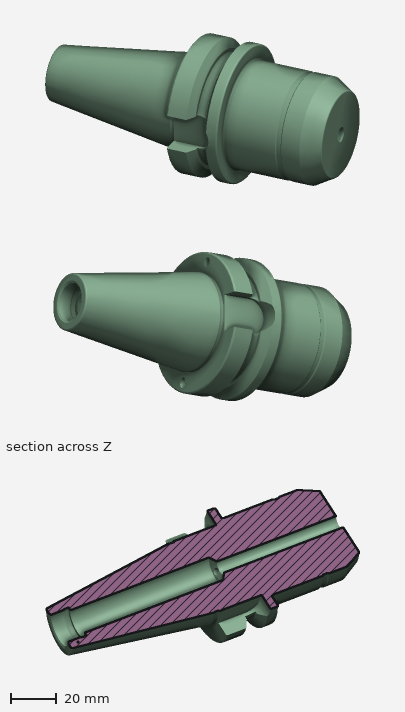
import cadquery as cq
import math

TAPER_END = 65.4
RELIEF_START = 66.2
FLANGE_START = 67.5
V_LEFT_OUTER, V_LEFT_INNER = 77.1, 79.5
V_RIGHT_INNER, V_RIGHT_OUTER = 84.5, 87.2
FLANGE_END = 92.4
RING_START, RING_END = 117.5, 120.5
NOSE_START = 129.4
LENGTH = 137.9

TAPER_RATIO = 7 / 24
TAPER_LARGE_R = 44.5 / 2
TAPER_SMALL_R = TAPER_LARGE_R - TAPER_END * TAPER_RATIO / 2
RELIEF_R = 44.0 / 2
FLANGE_R = 63.0 / 2
V_FLOOR_R = 25.5
V_WALL_SLOPE = math.tan(math.radians(60))
BODY_R = 49.2 / 2
RING_R = 48.3 / 2
NOSE_R = BODY_R - (LENGTH - NOSE_START) * math.tan(math.radians(30))
EDGE_ROUND = 0.8
NOSE_ROUND = 0.7

SLOT_WIDTH = 16.1
SLOT_END = 88.4
SLOT_FLOOR = 22.5

MOUTH_R = 18.9 / 2
MOUTH_CHAMFER = 0.5
PILOT_R = 17.0 / 2
UNDERCUT_R = 17.7 / 2
UNDERCUT_START, UNDERCUT_END = 6.3, 7.2
PILOT_DEPTH = 9.2
BORE_R = 14.0 / 2
BORE_DEPTH = 77.2
THROUGH_R = 6.9 / 2
DRILL_HALF_ANGLE = math.radians(59)

DUCT_D = 3.3
DUCT_MOUTH_D = 4.0
DUCT_MOUTH_DEPTH = 1.8
DUCT_START_R = 27.0
DUCT_PORT_R = 5.0
DUCT_SLANT = math.radians(30)
DUCT_TURN = 20.0
DUCT_LEAD = 4.0


def revolve_about_x(points):
    """Turn an (x, radius) outline about the X axis."""
    return cq.Workplane("XY").polyline(points).close().revolve(360, (0, 0, 0), (1, 0, 0))


def turned_body():
    left_v_r = FLANGE_R - (V_LEFT_INNER - V_LEFT_OUTER) * V_WALL_SLOPE
    right_v_r = FLANGE_R - (V_RIGHT_OUTER - V_RIGHT_INNER) * V_WALL_SLOPE
    ring_depth = BODY_R - RING_R
    body = revolve_about_x([
        (0, 0),
        (0, TAPER_SMALL_R),
        (TAPER_END, TAPER_LARGE_R),
        (RELIEF_START, RELIEF_R),
        (FLANGE_START, RELIEF_R),
        (FLANGE_START, FLANGE_R),
        (V_LEFT_OUTER, FLANGE_R),
        (V_LEFT_INNER, left_v_r),
        (V_LEFT_INNER, V_FLOOR_R),
        (V_RIGHT_INNER, V_FLOOR_R),
        (V_RIGHT_INNER, right_v_r),
        (V_RIGHT_OUTER, FLANGE_R),
        (FLANGE_END, FLANGE_R),
        (FLANGE_END, BODY_R),
        (RING_START, BODY_R),
        (RING_START + ring_depth, RING_R),
        (RING_END - ring_depth, RING_R),
        (RING_END, BODY_R),
        (NOSE_START, BODY_R),
        (LENGTH, NOSE_R),
        (LENGTH, 0),
    ])
    for x, radius, size in (
        (0, TAPER_SMALL_R, EDGE_ROUND),
        (FLANGE_START, FLANGE_R, EDGE_ROUND),
        (FLANGE_END, FLANGE_R, EDGE_ROUND),
        (FLANGE_END, BODY_R, EDGE_ROUND),
        (LENGTH, NOSE_R, NOSE_ROUND),
    ):
        body = body.edges(circle_edge_at(x, radius)).fillet(size)
    return body


def circle_edge_at(x, radius):
    """Select the circular edge of a given radius at a given station."""
    margin = 0.01
    reach = radius + margin
    inner = radius - margin
    outer_box = cq.selectors.BoxSelector(
        (x - margin, -reach, -reach), (x + margin, reach, reach), boundingbox=True)
    inner_box = cq.selectors.BoxSelector(
        (x - margin, -inner, -inner), (x + margin, inner, inner), boundingbox=True)
    return outer_box - inner_box


def axial_bore():
    cone_length = (BORE_R - THROUGH_R) / math.tan(DRILL_HALF_ANGLE)
    return revolve_about_x([
        (0, 0),
        (0, MOUTH_R),
        (MOUTH_CHAMFER, PILOT_R),
        (UNDERCUT_START, PILOT_R),
        (UNDERCUT_END, UNDERCUT_R),
        (PILOT_DEPTH, UNDERCUT_R),
        (PILOT_DEPTH, BORE_R),
        (BORE_DEPTH, BORE_R),
        (BORE_DEPTH + cone_length, THROUGH_R),
        (LENGTH, THROUGH_R),
        (LENGTH, 0),
    ])


def drive_slot(side):
    """Round-ended slot, open toward the taper; side is +1 or -1 along Y."""
    radius = SLOT_WIDTH / 2
    centre_x = SLOT_END - radius
    return (
        cq.Workplane("XZ", origin=(0, side * SLOT_FLOOR, 0))
        .moveTo(FLANGE_START, -radius)
        .lineTo(centre_x, -radius)
        .threePointArc((SLOT_END, 0), (centre_x, radius))
        .lineTo(FLANGE_START, radius)
        .close()
        .extrude(-side * FLANGE_R)
    )


def coolant_duct(turn):
    port_x = BORE_DEPTH + (BORE_R - DUCT_PORT_R) / math.tan(DRILL_HALF_ANGLE)
    inward = cq.Vector(math.cos(DUCT_SLANT), 0, -math.sin(DUCT_SLANT))
    outward = cq.Vector(math.cos(DUCT_SLANT), 0, math.sin(DUCT_SLANT))
    entry = cq.Vector(FLANGE_START, 0, DUCT_START_R)
    port = cq.Vector(port_x, 0, DUCT_PORT_R)

    radial_gap = DUCT_START_R - DUCT_PORT_R
    meeting_x = (FLANGE_START + port_x + radial_gap / math.tan(DUCT_SLANT)) / 2
    entry_length = (meeting_x - FLANGE_START) / math.cos(DUCT_SLANT)
    port_length = (meeting_x - port_x) / math.cos(DUCT_SLANT)

    start = entry - inward * DUCT_LEAD
    mouth_length = DUCT_LEAD + DUCT_MOUTH_DEPTH
    port_lead = DUCT_D / 2
    mouth = cq.Solid.makeCylinder(DUCT_MOUTH_D / 2, mouth_length, start, inward)
    entry_leg = cq.Solid.makeCylinder(DUCT_D / 2, DUCT_LEAD + entry_length, start, inward)
    port_leg = cq.Solid.makeCylinder(
        DUCT_D / 2, port_lead + port_length, port - outward * port_lead, outward)
    bend = cq.Solid.makeSphere(DUCT_D / 2, angleDegrees1=-90).moved(
        cq.Location(entry + inward * entry_length))
    duct = mouth.fuse(entry_leg, port_leg, bend)
    return cq.Workplane(duct).rotate((0, 0, 0), (1, 0, 0), turn)


result = turned_body().cut(axial_bore())
for side in (1, -1):
    result = result.cut(drive_slot(side))
for turn in (DUCT_TURN, DUCT_TURN + 180):
    result = result.cut(coolant_duct(turn))